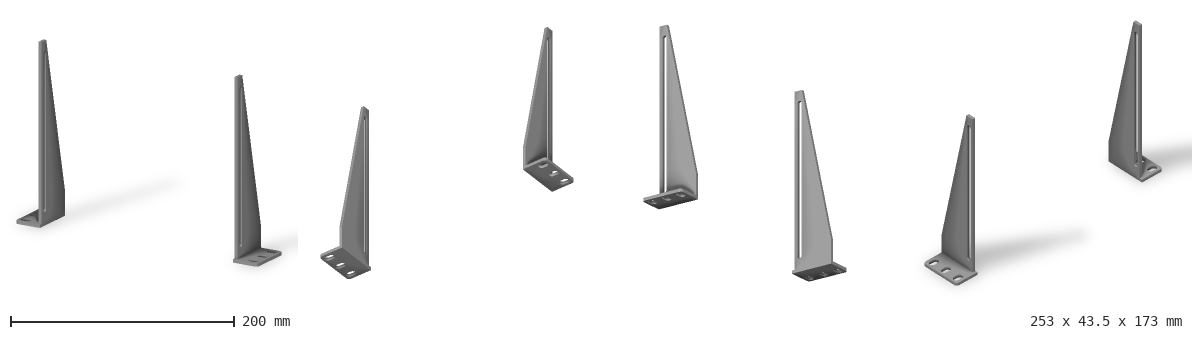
import cadquery as cq

pair_width = 253.0
foot_depth = 43.5
bracket_height = 173.0

sheet_thickness = 3.0
foot_width = 25.5
corner_radius = 3.0
foot_slot_length = 10.0
foot_slot_width = 6.0
foot_slot_pitch = 15.7
foot_slot_count = 3
foot_slot_edge_distance = 7.3

front_setback = 3.0
top_depth = 8.0
taper_start_height = 22.8
long_slot_width = 4.5
long_slot_bottom = 13.0
long_slot_top = bracket_height - 9.9
long_slot_setback = 5.3

outer_x = -pair_width / 2
inner_x = outer_x + foot_width
back_y = foot_depth / 2
upright_front_y = -foot_depth / 2 + front_setback


def make_foot():
    """Flat foot with rounded outer corners and a row of slots along Y."""
    foot = (
        cq.Workplane("XY")
        .box(foot_width, foot_depth, sheet_thickness, centered=(False, True, False))
        .translate((outer_x, 0, 0))
        .edges("|Z and <X")
        .fillet(corner_radius)
    )
    slots = (
        cq.Workplane("XY")
        .center(outer_x + foot_slot_edge_distance, 0)
        .rarray(2.5, foot_slot_pitch, 1, foot_slot_count)
        .slot2D(foot_slot_length, foot_slot_width)
        .extrude(sheet_thickness)
    )
    return foot.cut(slots)


def make_upright():
    """Plate along the inner edge of the foot, tapered at the back, with a long vertical slot."""
    plate_plane = cq.Workplane("YZ", origin=(inner_x - sheet_thickness, 0, 0))
    plate = (
        plate_plane
        .moveTo(upright_front_y, 0)
        .lineTo(back_y, 0)
        .lineTo(back_y, taper_start_height)
        .lineTo(upright_front_y + top_depth, bracket_height)
        .lineTo(upright_front_y, bracket_height)
        .close()
        .extrude(sheet_thickness)
    )
    slot = (
        plate_plane
        .center(upright_front_y + long_slot_setback, (long_slot_bottom + long_slot_top) / 2)
        .slot2D(long_slot_top - long_slot_bottom, long_slot_width, 90)
        .extrude(sheet_thickness)
    )
    return plate.cut(slot)


def make_bracket(mirrored):
    """Complete angle bracket on the -X side, or its mirror image on the +X side."""
    bracket = make_foot().union(make_upright())
    if mirrored:
        bracket = bracket.mirror("YZ")
    return bracket


brackets = [make_bracket(mirrored) for mirrored in (False, True)]

result = cq.Compound.makeCompound([bracket.val() for bracket in brackets])